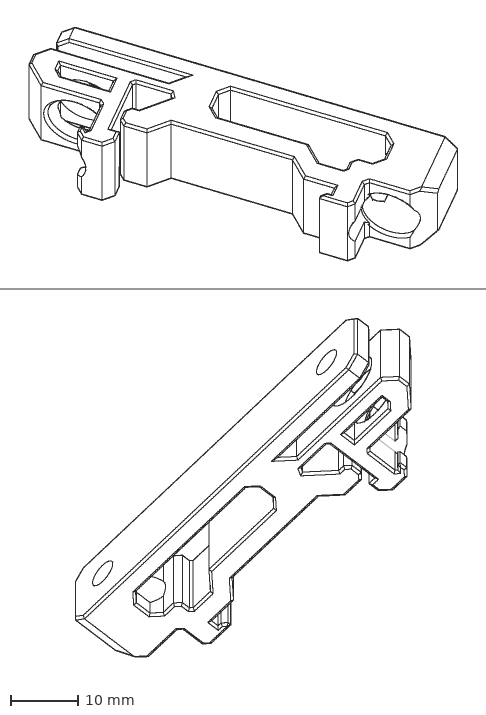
import cadquery as cq
LENGTH = 65.0
DEPTH = 19.6
HEIGHT = 14.0
MID_HEIGHT = HEIGHT / 2

EDGE_CHAMFER = 0.4
END_CHAMFER = 2.0

BEAM_THICKNESS = 3.0
SLOT_WIDTH = 2.0
BEAM_FRONT_Y = DEPTH - BEAM_THICKNESS
ARM_BACK_Y = BEAM_FRONT_Y - SLOT_WIDTH
BODY_FRONT_Y = 7.5
STRUT_FRONT_Y = 4.7
BEAM_START_X = 2.0

ARM_FRONT_CORNER = 3.1
ARM_BACK_CORNER = 2.0
LEG_LEFT_X = 12.75
LEG_RIGHT_X = 15.8
LATCH_LEFT_X = 11.25
LATCH_RIGHT_X = 17.1
LATCH_TIP_Y = 2.4
LATCH_TIP_WIDTH = 0.57
LATCH_NOTCH_X = 12.45
LATCH_NOTCH_Y = LATCH_TIP_Y - (LATCH_NOTCH_X - LATCH_LEFT_X - LATCH_TIP_WIDTH)
LATCH_SHOULDER_Y = 3.4
LATCH_LEFT_CORNER = 1.1
LATCH_RIGHT_CORNER = 1.5

RELIEF_BACK_Y = 12.8
RELIEF_RIGHT_X = 22.2
RELIEF_CORNER_Y = 12.1
TONGUE_LEFT_X = 16.4
TONGUE_BACK_Y = 8.3
TONGUE_CORNER = 0.9
TONGUE_FRONT_END_X = 21.0
SLOT_END_X = 20.75

STRUT_START_X = 43.1
HOOK_LEFT_X = 50.8
HOOK_RIGHT_X = 54.75
HOOK_FRONT_Y = 2.1
HOOK_SHOULDER_Y = 3.4
HOOK_TIP_X = 49.4
HOOK_TIP_HEIGHT = 0.57
HOOK_BARB_RUN = HOOK_SHOULDER_Y - HOOK_FRONT_Y - HOOK_TIP_HEIGHT
HOOK_CORNER = 0.9
HOOK_ROOT_CORNER = 0.6
BODY_END_CORNER = 3.2

WINDOW_LEFT_X = 28.45
WINDOW_RIGHT_X = 55.9
WINDOW_FRONT_Y = 11.05
WINDOW_CORNER = 1.4
WINDOW_DIP_Y = 8.3
WINDOW_DIP_LEFT_X = 44.3
WINDOW_DIP_RIGHT_X = 51.3
WINDOW_DIP_CORNER = 0.95

POCKET_LEFT_X = 4.45
POCKET_RIGHT_X = 12.9
POCKET_FRONT_Y = 10.1
POCKET_BACK_Y = 12.1
POCKET_CORNER = 0.9

SCREW_SPACING = 50.0
LEFT_SCREW_X = 8.5
RIGHT_SCREW_X = LEFT_SCREW_X + SCREW_SPACING
SCREW_DIAMETER = 4.5
HEAD_DIAMETER = 9.0
HEAD_CHAMFER = 0.5

PICK_TOLERANCE = 0.1


def prism(points):
    """Full-height block from a closed outline in the XY plane."""
    return cq.Workplane("XY").polyline(points).close().extrude(HEIGHT)


def y_cylinder(diameter, center_x, start_y, end_y):
    """Cylinder along +Y at mid height."""
    return (
        cq.Workplane("XZ", origin=(center_x, start_y, MID_HEIGHT))
        .circle(diameter / 2)
        .extrude(start_y - end_y)
    )


def outer_block():
    """Beam, arm with latch leg, tongue, strut and hook as one outline."""
    c = EDGE_CHAMFER
    slot_end_back_x = SLOT_END_X + SLOT_WIDTH
    tongue_slope_x = RELIEF_RIGHT_X - (RELIEF_CORNER_Y - TONGUE_BACK_Y)
    tongue_root_x = TONGUE_FRONT_END_X + BODY_FRONT_Y - STRUT_FRONT_Y
    strut_front_x = STRUT_START_X + BODY_FRONT_Y - STRUT_FRONT_Y
    beam = [
        (LENGTH, DEPTH),
        (BEAM_START_X, DEPTH),
        (BEAM_START_X, BEAM_FRONT_Y),
        (slot_end_back_x, BEAM_FRONT_Y),
    ]
    arm = [
        (SLOT_END_X, ARM_BACK_Y),
        (ARM_BACK_CORNER, ARM_BACK_Y),
        (0, ARM_BACK_Y - ARM_BACK_CORNER),
        (0, BODY_FRONT_Y + ARM_FRONT_CORNER),
        (ARM_FRONT_CORNER, BODY_FRONT_Y),
        (LEG_LEFT_X - c, BODY_FRONT_Y),
    ]
    latch_leg = [
        (LEG_LEFT_X, BODY_FRONT_Y - c),
        (LEG_LEFT_X, LATCH_NOTCH_Y + LEG_LEFT_X - LATCH_NOTCH_X),
        (LATCH_NOTCH_X, LATCH_NOTCH_Y),
        (LATCH_LEFT_X + LATCH_TIP_WIDTH, LATCH_TIP_Y),
        (LATCH_LEFT_X, LATCH_TIP_Y),
        (LATCH_LEFT_X, LATCH_LEFT_CORNER),
        (LATCH_LEFT_X + LATCH_LEFT_CORNER, 0),
        (LATCH_RIGHT_X - LATCH_RIGHT_CORNER, 0),
        (LATCH_RIGHT_X, LATCH_RIGHT_CORNER),
        (LATCH_RIGHT_X, LATCH_SHOULDER_Y),
        (LEG_RIGHT_X, LATCH_SHOULDER_Y),
    ]
    relief = [
        (LEG_RIGHT_X, RELIEF_BACK_Y - c),
        (LEG_RIGHT_X + c, RELIEF_BACK_Y),
        (RELIEF_RIGHT_X - c, RELIEF_BACK_Y),
        (RELIEF_RIGHT_X, RELIEF_CORNER_Y),
    ]
    tongue = [
        (tongue_slope_x, TONGUE_BACK_Y),
        (TONGUE_LEFT_X + TONGUE_CORNER, TONGUE_BACK_Y),
        (TONGUE_LEFT_X, TONGUE_BACK_Y - TONGUE_CORNER),
        (TONGUE_LEFT_X, STRUT_FRONT_Y + TONGUE_CORNER),
        (TONGUE_LEFT_X + TONGUE_CORNER, STRUT_FRONT_Y),
        (TONGUE_FRONT_END_X, STRUT_FRONT_Y),
        (tongue_root_x, BODY_FRONT_Y),
    ]
    strut_and_hook = [
        (STRUT_START_X, BODY_FRONT_Y),
        (strut_front_x, STRUT_FRONT_Y),
        (HOOK_LEFT_X, STRUT_FRONT_Y),
        (HOOK_LEFT_X, HOOK_SHOULDER_Y),
        (HOOK_TIP_X + HOOK_BARB_RUN, HOOK_SHOULDER_Y),
        (HOOK_TIP_X, HOOK_FRONT_Y + HOOK_TIP_HEIGHT),
        (HOOK_TIP_X, HOOK_FRONT_Y),
        (HOOK_RIGHT_X - HOOK_CORNER, HOOK_FRONT_Y),
        (HOOK_RIGHT_X, HOOK_FRONT_Y + HOOK_CORNER),
        (HOOK_RIGHT_X, BODY_FRONT_Y - HOOK_ROOT_CORNER),
        (HOOK_RIGHT_X + HOOK_ROOT_CORNER, BODY_FRONT_Y),
    ]
    body_end = [
        (LENGTH - BODY_END_CORNER, BODY_FRONT_Y),
        (LENGTH, BODY_FRONT_Y + BODY_END_CORNER),
    ]
    return prism(beam + arm + latch_leg + relief + tongue + strut_and_hook + body_end)


def window():
    """Long opening with a dip into the strut."""
    c = WINDOW_CORNER
    dip_left_bottom_x = WINDOW_DIP_LEFT_X + WINDOW_FRONT_Y - WINDOW_DIP_Y
    return prism([
        (WINDOW_LEFT_X + c, BEAM_FRONT_Y),
        (WINDOW_LEFT_X, BEAM_FRONT_Y - c),
        (WINDOW_LEFT_X, WINDOW_FRONT_Y + c),
        (WINDOW_LEFT_X + c, WINDOW_FRONT_Y),
        (WINDOW_DIP_LEFT_X, WINDOW_FRONT_Y),
        (dip_left_bottom_x, WINDOW_DIP_Y),
        (WINDOW_DIP_RIGHT_X - EDGE_CHAMFER, WINDOW_DIP_Y),
        (WINDOW_DIP_RIGHT_X, WINDOW_DIP_Y + EDGE_CHAMFER),
        (WINDOW_DIP_RIGHT_X, WINDOW_FRONT_Y - WINDOW_DIP_CORNER),
        (WINDOW_DIP_RIGHT_X + WINDOW_DIP_CORNER, WINDOW_FRONT_Y),
        (WINDOW_RIGHT_X - c, WINDOW_FRONT_Y),
        (WINDOW_RIGHT_X, WINDOW_FRONT_Y + c),
        (WINDOW_RIGHT_X, BEAM_FRONT_Y - c),
        (WINDOW_RIGHT_X - c, BEAM_FRONT_Y),
    ])


def arm_pocket():
    """Small opening through the arm with one cut corner."""
    return prism([
        (POCKET_LEFT_X, POCKET_BACK_Y),
        (POCKET_LEFT_X, POCKET_FRONT_Y + POCKET_CORNER),
        (POCKET_LEFT_X + POCKET_CORNER, POCKET_FRONT_Y),
        (POCKET_RIGHT_X, POCKET_FRONT_Y),
        (POCKET_RIGHT_X, POCKET_BACK_Y),
    ])


def end_chamfer_cutters():
    """Wedges for the top and bottom corners of both beam ends."""
    cutters = cq.Workplane("XY")
    for end_x, inward in ((BEAM_START_X, 1), (LENGTH, -1)):
        start_y = BEAM_FRONT_Y if inward > 0 else 0
        for face_z, into_part in ((0, 1), (HEIGHT, -1)):
            wedge = (
                cq.Workplane("XZ", origin=(0, start_y, 0))
                .moveTo(end_x, face_z)
                .lineTo(end_x + inward * END_CHAMFER, face_z)
                .lineTo(end_x, face_z + into_part * END_CHAMFER)
                .close()
                .extrude(start_y - DEPTH)
            )
            cutters = cutters.add(wedge)
    return cutters.combine()


def screw_hole(center_x):
    """Hole through the beam, with a head bore and chamfered mouth up to the beam's front wall."""
    hole = y_cylinder(SCREW_DIAMETER, center_x, 0, DEPTH)
    head_bore = y_cylinder(HEAD_DIAMETER, center_x, 0, BEAM_FRONT_Y)
    mouth = (
        cq.Workplane("XZ", origin=(center_x, BODY_FRONT_Y, MID_HEIGHT))
        .circle(HEAD_DIAMETER / 2 + HEAD_CHAMFER)
        .workplane(offset=-HEAD_CHAMFER)
        .circle(HEAD_DIAMETER / 2)
        .loft()
    )
    return hole.union(head_bore).union(mouth)


def edges_at(places):
    """Selector for edges whose centres lie at the given XY places, at any height."""
    chosen = None
    for x, y in places:
        box = cq.selectors.BoxSelector(
            (x - PICK_TOLERANCE, y - PICK_TOLERANCE, -PICK_TOLERANCE),
            (x + PICK_TOLERANCE, y + PICK_TOLERANCE, HEIGHT + PICK_TOLERANCE),
        )
        chosen = box if chosen is None else chosen + box
    return chosen


def chamfer_rims(body):
    """Chamfer every rim of the top and bottom faces and the long sides of the beam ends."""
    left_slope_x = BEAM_START_X + END_CHAMFER
    right_slope_x = LENGTH - END_CHAMFER
    right_front_y = BODY_FRONT_Y + BODY_END_CORNER - END_CHAMFER
    plain_slope_tops = edges_at([
        (left_slope_x, (BEAM_FRONT_Y + DEPTH) / 2),
        (right_slope_x, (right_front_y + DEPTH) / 2),
    ])
    end_sides = edges_at([
        (BEAM_START_X, DEPTH),
        (BEAM_START_X, BEAM_FRONT_Y),
        (BEAM_START_X + END_CHAMFER / 2, DEPTH),
        (BEAM_START_X + END_CHAMFER / 2, BEAM_FRONT_Y),
        (LENGTH, DEPTH),
        (LENGTH - END_CHAMFER / 2, DEPTH),
        (LENGTH - END_CHAMFER / 2, right_front_y + END_CHAMFER / 2),
    ])
    rims = body.faces("|Z").edges(cq.selectors.InverseSelector(plain_slope_tops))
    return rims.add(body.edges(end_sides)).chamfer(EDGE_CHAMFER)


body = outer_block().cut(window()).cut(arm_pocket()).cut(end_chamfer_cutters())
body = chamfer_rims(body)
for screw_x in (LEFT_SCREW_X, RIGHT_SCREW_X):
    body = body.cut(screw_hole(screw_x))
result = body